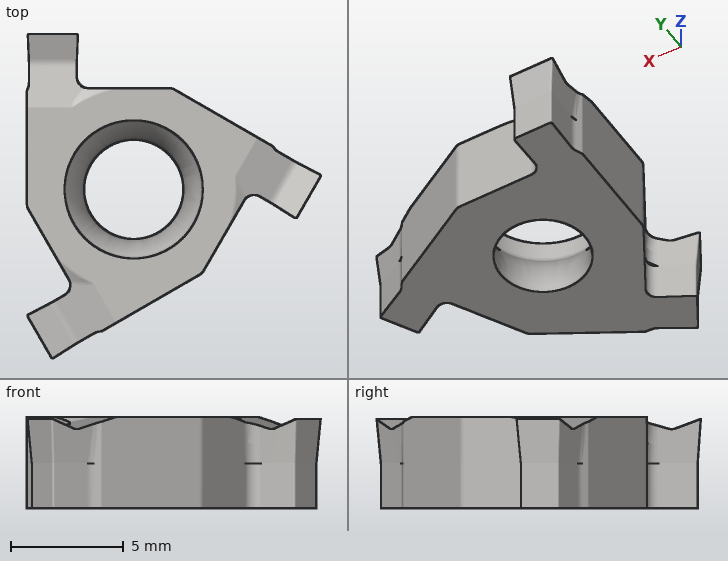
import cadquery as cq
import math

tooth_count = 3
tooth_pitch = 360 / tooth_count

thickness = 4.07
side_apothem = 4.75
shoulder_apothem = 4.5
body_corner_radius = 0.5
step_start_y = 4.39
step_angle = 25
step_depth = 0.35
step_edge_radius = 0.2

throat_radius = 4.4 / 2
counterbore_radius = 3.07
throat_height = 0.47
funnel_radius = 3.9
funnel_edge_radius = 0.48

tip_y = 6.905
tip_left_x = -4.712
tip_right_x = -2.47
tip_drop = 0.09
relief_height = 2.0
relief_angle = 4
back_taper_angle = 1.0
tooth_root_y = 3.0
tip_corner_radius = 0.08
step_root_radius = 0.6
shoulder_root_radius = 0.5

groove_start_y = 3.63
groove_back_angle = 16
valley_y = 5.62
valley_radius = 0.5
groove_wall_radius = 4.55
groove_wall_angle = 30
groove_foot_radius = 0.35
groove_rim_radius = 0.15
overshoot = 1.0
joint_tolerance = 1e-4


def tangent(angle):
    return math.tan(math.radians(angle))


def turned(point, angle):
    """The point (x, y) turned about the origin by an angle in degrees."""
    x, y = point
    cosine = math.cos(math.radians(angle))
    sine = math.sin(math.radians(angle))
    return (x * cosine - y * sine, x * sine + y * cosine)


def around(feature):
    """Copies of a feature, one for each tooth."""
    return [
        feature.rotate((0, 0, 0), (0, 0, 1), -index * tooth_pitch) for index in range(tooth_count)
    ]


def edges_at(x, y):
    """Selector for the upright edges close to (x, y) over the full thickness."""
    reach = 0.2
    return cq.selectors.BoxSelector(
        (x - reach, y - reach, -overshoot), (x + reach, y + reach, thickness + overshoot)
    )


body_corner = (
    (side_apothem - shoulder_apothem * math.sin(math.radians(60))) / math.cos(math.radians(60)),
    shoulder_apothem,
)
step_start = (-side_apothem, step_start_y)
step_end = (-side_apothem + step_depth, step_start_y + step_depth / tangent(step_angle))
step_foot = (step_end[0], shoulder_apothem)


def make_body(base, height):
    outline = []
    for index in range(tooth_count):
        for point in (step_start, step_end, step_foot, body_corner):
            outline.append(turned(point, -index * tooth_pitch))
    body = cq.Workplane("XY", origin=(0, 0, base)).polyline(outline).close().extrude(height)
    for index in range(tooth_count):
        corner = turned(body_corner, -index * tooth_pitch)
        body = body.edges("|Z").edges(edges_at(*corner)).fillet(body_corner_radius)
        step = turned(step_start, -index * tooth_pitch)
        body = body.edges("|Z").edges(edges_at(*step)).fillet(step_edge_radius)
    return body


relief_inset = (thickness - tip_drop - relief_height) * tangent(relief_angle)
land_tip_y = tip_y - relief_inset
land_left_x = tip_left_x + relief_inset
land_right_x = tip_right_x - relief_inset
root_inset = (land_tip_y - tooth_root_y) * tangent(back_taper_angle)


def tooth_outline(growth):
    """Corners of a tooth section whose tip and sides stand out by the growth."""
    return [
        (land_left_x - growth, land_tip_y + growth),
        (land_right_x + growth, land_tip_y + growth),
        (land_right_x - root_inset + growth, tooth_root_y),
        (land_left_x + root_inset - growth, tooth_root_y),
    ]


def make_tooth(base, height, flare_angle=0):
    """One layer of a tooth, which widens upward by the flare angle."""
    tooth = (
        cq.Workplane("XY", origin=(0, 0, base))
        .polyline(tooth_outline(0))
        .close()
        .workplane(offset=height)
        .polyline(tooth_outline(height * tangent(flare_angle)))
        .close()
        .loft(ruled=True)
    )
    for x in (land_left_x, land_right_x):
        tooth = tooth.edges("not #Z").edges(edges_at(x, land_tip_y)).fillet(tip_corner_radius)
    return tooth


def join_teeth(body, tooth):
    """Join the teeth to a layer of the body and round the inner corners between them."""
    layer = body
    for copy in around(tooth):
        layer = layer.union(copy)
    step_root_y = step_start_y + (land_left_x + side_apothem) / tangent(step_angle)
    roots = (
        ((land_left_x, step_root_y), step_root_radius),
        ((land_right_x, shoulder_apothem), shoulder_root_radius),
    )
    for index in range(tooth_count):
        for corner, radius in roots:
            place = turned(corner, -index * tooth_pitch)
            layer = layer.edges("not #Z").edges(edges_at(*place)).fillet(radius)
    return layer


groove_rim_end = (-math.sqrt(groove_wall_radius**2 - groove_start_y**2), groove_start_y)
groove_rim_middle = ((groove_rim_end[0] - side_apothem) / 2, groove_start_y)


def make_groove():
    """The space above the V-shaped rake surface and outside a cone about the hole."""
    valley_z = thickness - (valley_y - groove_start_y) * tangent(groove_back_angle)
    rake_slope = (thickness - tip_drop - valley_z) / (tip_y - valley_y)
    outer_y = tip_y + overshoot
    profile = [
        (groove_start_y - overshoot, thickness + overshoot * tangent(groove_back_angle)),
        (valley_y, valley_z),
        (outer_y, valley_z + (outer_y - valley_y) * rake_slope),
        (outer_y, thickness + overshoot),
        (groove_start_y - overshoot, thickness + overshoot),
    ]
    rake_space = (
        cq.Workplane("YZ", origin=(-side_apothem - overshoot, 0, 0))
        .polyline(profile)
        .close()
        .extrude(side_apothem + overshoot)
        .edges(cq.selectors.NearestToPointSelector((-side_apothem / 2, valley_y, valley_z)))
        .fillet(valley_radius)
    )
    cone_foot_radius = groove_wall_radius + thickness / tangent(groove_wall_angle)
    cone_top_radius = groove_wall_radius - overshoot / tangent(groove_wall_angle)
    cone = cq.Workplane("XY").add(
        cq.Solid.makeCone(cone_foot_radius, cone_top_radius, thickness + overshoot)
    )
    wall_foot = (groove_rim_end[0], groove_rim_end[1], thickness)
    return (
        rake_space.cut(cone)
        .edges(cq.selectors.NearestToPointSelector(wall_foot))
        .fillet(groove_foot_radius)
    )


def make_screw_hole():
    funnel_centre_x = throat_radius + funnel_radius
    funnel_angle = math.acos((funnel_centre_x - counterbore_radius) / funnel_radius)

    def funnel_point(angle):
        return (
            funnel_centre_x - funnel_radius * math.cos(angle),
            throat_height + funnel_radius * math.sin(angle),
        )

    seat = funnel_point(funnel_angle)
    return (
        cq.Workplane("XZ")
        .moveTo(0, 0)
        .lineTo(throat_radius, 0)
        .lineTo(throat_radius, throat_height)
        .threePointArc(funnel_point(funnel_angle / 2), seat)
        .lineTo(counterbore_radius, thickness)
        .lineTo(0, thickness)
        .close()
        .revolve(360, (0, 0), (0, 1))
        .edges(cq.selectors.NearestToPointSelector((0, 0, seat[1])))
        .fillet(funnel_edge_radius)
    )


upper_height = thickness - relief_height
lower_layer = join_teeth(make_body(0, relief_height), make_tooth(0, relief_height))
upper_layer = join_teeth(
    make_body(relief_height, upper_height),
    make_tooth(relief_height, upper_height, flare_angle=relief_angle),
)

result = lower_layer.union(upper_layer, tol=joint_tolerance).cut(make_screw_hole())
for groove in around(make_groove()):
    result = result.cut(groove)
for index in range(tooth_count):
    rim_x, rim_y = turned(groove_rim_middle, -index * tooth_pitch)
    rim_edge = cq.selectors.NearestToPointSelector((rim_x, rim_y, thickness))
    result = result.edges(rim_edge).fillet(groove_rim_radius)